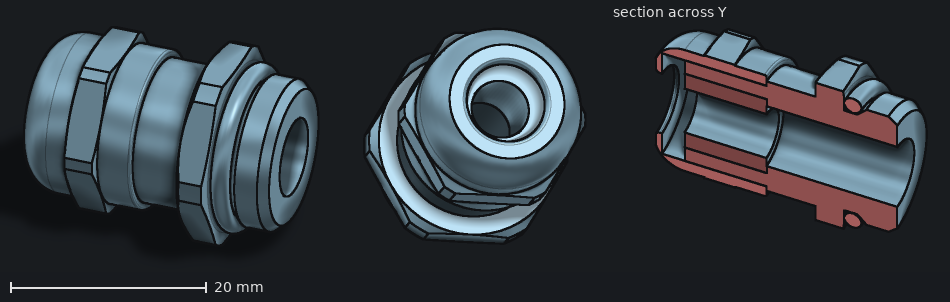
import cadquery as cq
import math


gland_length = 27.25

nut_diameter = 16.8
nut_end_x = 12.5
dome_face_diameter = 12.0
dome_length = 3.3
skirt_fillet = 0.25
nut_hex_flats = 17.0
nut_hex_corners = 18.9
nut_hex_start_x = 5.48
nut_hex_end_x = 8.93
nut_front_chamfer = 0.27
nut_rear_chamfer = 0.2

entry_diameter = 8.2
entry_fillet = 0.5
entry_land = 0.25
lip_thickness = entry_fillet + entry_land

neck_start_x = 3.27
neck_diameter = 13.8
barrel_diameter = 15.2
body_bore_diameter = entry_diameter
body_hex_flats = 19.0
body_hex_corners = 20.78
body_hex_start_x = 18.0
body_hex_end_x = 21.22
body_front_face_diameter = body_hex_flats
body_front_chamfer = 0.55
body_rear_face_diameter = 17.98
body_rear_chamfer = 0.2
thread_diameter = 16.0
thread_start_x = 23.75
thread_tip_diameter = 14.27
thread_tip_chamfer = 1.0

ring_inner_diameter = 13.87
ring_thickness = 2.0

seal_diameter = 10.1
seal_hole_diameter = 6.0
seal_end_x = nut_end_x


def rod(diameter, start_x, end_x):
    """Cylinder on the X axis."""
    return cq.Workplane("YZ", origin=(start_x, 0, 0)).circle(diameter / 2).extrude(end_x - start_x)


def turned_about_x(profile):
    """Turn a closed profile, drawn as (x, radius), once around the X axis."""
    return profile.close().revolve(360, (0, 0, 0), (1, 0, 0))


def chamfered_hexagon(flats, corners, start_x, end_x, front_face, front_chamfer, rear_face, rear_chamfer):
    """Hexagon with flats facing +Z and -Z, its corners cut by a turned blank with coned ends."""
    prism = (
        cq.Workplane("YZ", origin=(start_x, 0, 0))
        .polygon(6, flats / math.cos(math.pi / 6))
        .extrude(end_x - start_x)
    )
    blank = turned_about_x(
        cq.Workplane("XY")
        .moveTo(start_x, 0)
        .lineTo(start_x, front_face / 2)
        .lineTo(start_x + front_chamfer, corners / 2)
        .lineTo(end_x - rear_chamfer, corners / 2)
        .lineTo(end_x, rear_face / 2)
        .lineTo(end_x, 0)
    )
    return prism.intersect(blank)


def make_nut():
    shell = turned_about_x(
        cq.Workplane("XY")
        .moveTo(0, 0)
        .lineTo(nut_end_x, 0)
        .lineTo(nut_end_x, nut_diameter / 2)
        .lineTo(dome_length, nut_diameter / 2)
        .tangentArcPoint((0, dome_face_diameter / 2), relative=False)
    )
    shell = shell.faces(">X").edges().fillet(skirt_fillet)
    hexagon = chamfered_hexagon(
        nut_hex_flats, nut_hex_corners, nut_hex_start_x, nut_hex_end_x,
        nut_hex_flats, nut_front_chamfer, nut_hex_flats, nut_rear_chamfer,
    )
    return shell.union(hexagon).cut(make_nut_cavity())


def make_nut_cavity():
    """Rounded cable entry with a short land, then a wide bore that fits around the body's neck."""
    land_radius = entry_diameter / 2
    neck_radius = neck_diameter / 2
    return turned_about_x(
        cq.Workplane("XY")
        .moveTo(0, 0)
        .lineTo(nut_end_x, 0)
        .lineTo(nut_end_x, neck_radius)
        .lineTo(lip_thickness, neck_radius)
        .lineTo(lip_thickness, land_radius)
        .lineTo(entry_fillet, land_radius)
        .radiusArc((0, land_radius + entry_fillet), entry_fillet)
    )


def make_body():
    groove_radius = ring_inner_diameter / 2
    thread_radius = thread_diameter / 2
    groove_end_x = thread_start_x - (thread_radius - groove_radius)
    core = turned_about_x(
        cq.Workplane("XY")
        .moveTo(neck_start_x, 0)
        .lineTo(neck_start_x, neck_diameter / 2)
        .lineTo(nut_end_x, neck_diameter / 2)
        .lineTo(nut_end_x, barrel_diameter / 2)
        .lineTo(body_hex_end_x, barrel_diameter / 2)
        .lineTo(body_hex_end_x, groove_radius)
        .lineTo(groove_end_x, groove_radius)
        .lineTo(thread_start_x, thread_radius)
        .lineTo(gland_length - thread_tip_chamfer, thread_radius)
        .lineTo(gland_length, thread_tip_diameter / 2)
        .lineTo(gland_length, 0)
    )
    hexagon = chamfered_hexagon(
        body_hex_flats, body_hex_corners, body_hex_start_x, body_hex_end_x,
        body_front_face_diameter, body_front_chamfer, body_rear_face_diameter, body_rear_chamfer,
    )
    bore = rod(body_bore_diameter, neck_start_x, gland_length)
    seal_seat = rod(seal_diameter, neck_start_x, seal_end_x)
    return core.union(hexagon).cut(bore).cut(seal_seat)


def make_seal():
    hole = rod(seal_hole_diameter, neck_start_x, seal_end_x)
    return rod(seal_diameter, neck_start_x, seal_end_x).cut(hole)


def make_ring():
    section_radius = ring_thickness / 2
    centreline_radius = ring_inner_diameter / 2 + section_radius
    torus = cq.Solid.makeTorus(
        centreline_radius, section_radius, cq.Vector(body_hex_end_x + section_radius, 0, 0), cq.Vector(1, 0, 0)
    )
    return cq.Workplane("XY").newObject([torus])


nut = make_nut()
body = make_body()
seal = make_seal()
ring = make_ring()

result = cq.Compound.makeCompound([nut.val(), body.val(), seal.val(), ring.val()])